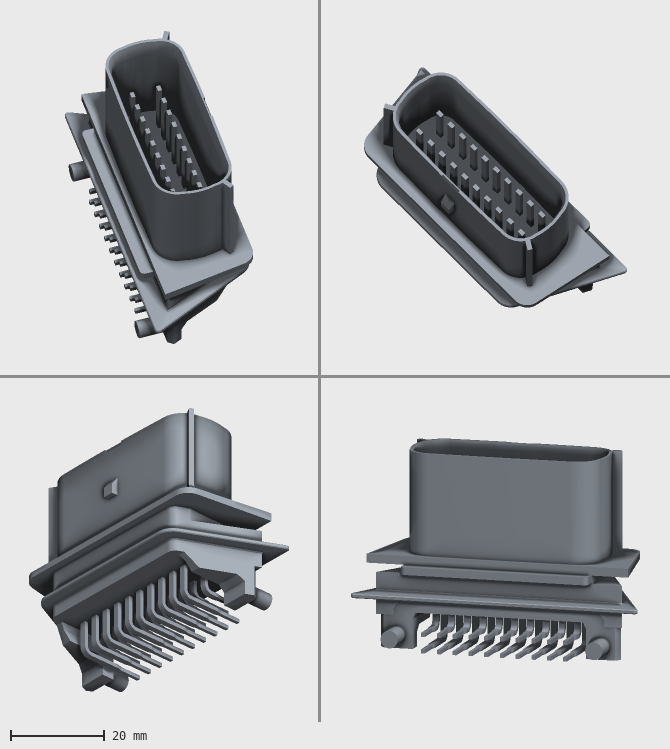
import cadquery as cq
import math

HALF_LENGTH = 63.7 / 2

TOTAL_HEIGHT = 42.55
FLANGE_TOP = 20.4
FLANGE_BOTTOM_FRONT = 18.5
FLANGE_BOTTOM_BACK = 19.0
SHOULDER_FRONT = 16.3
SHOULDER_BACK = 15.85
BODY_BOTTOM = 7.9
SKIRT_BOTTOM = 7.25
CHEEK_BOTTOM = 4.6
LEG_SLOPE_BOTTOM = 3.1

BODY_FRONT = -9.0
BODY_BACK = 9.35
LEG_FRONT = -8.6
LEG_BACK = -5.5
CHEEK_FRONT = -3.95
CHEEK_BACK = 3.8
CHEEK_SLOPE_TOP = 6.9

BODY_FRONT_HALF = 27.4
BODY_SIDE_SLOPE = 0.45
BODY_BACK_RADIUS = 2.05
BODY_FRONT_RADIUS = 0.05
NECK_HALF = 20.8

LEG_INNER_HALF = 19.25
LEG_CHAMFER_HALF = 25.7
LEG_CHAMFER_BACK = -7.4
ARCH_CHAMFER_WIDTH = 0.65
ARCH_CHAMFER_HEIGHT = 1.35
PEG_SPACING = 45.5
PEG_HEIGHT = 2.9
PEG_RADIUS = 1.9
PEG_END = -14.4

RECESS_TOP = 10.6
RECESS_TOP_HALF = 21.8
RECESS_BEND_HEIGHT = 8.7
RECESS_BEND_HALF = 23.4

GASKET_SIDE_SLOPE = 0.47
GASKET_FRONT = -13.1
GASKET_BACK = 12.1
GASKET_FRONT_RADIUS = 0.75
GASKET_BACK_RADIUS = 4.15
GASKET_CORNER_GAIN = GASKET_SIDE_SLOPE + math.sqrt(1 + GASKET_SIDE_SLOPE**2) - 1
GASKET_FRONT_HALF = HALF_LENGTH + GASKET_FRONT_RADIUS * GASKET_CORNER_GAIN
GASKET_MIDDLE = 11.65
GASKET_RIM_HEIGHT = 0.6
GASKET_RIM_BEVEL = 0.2
GASKET_ROOT_HEIGHT = 2.05
GASKET_ROOT_BEVEL = 0.25

FLANGE_FRONT_HALF = 29.1
FLANGE_SIDE_SLOPE = 0.16
FLANGE_FRONT = -10.1
FLANGE_BACK = 11.4
FLANGE_BACK_RADIUS = 3.5
LIP_FRONT = -12.85
LIP_BOTTOM = 16.8
LIP_CORNER_RADIUS = 1.0

SHELL_HALF_LENGTH = 21.8
SHELL_HALF_DEPTH = 9.0
SHELL_LONG_SIDE_END = (16.05, 8.7)
SHELL_SHORT_SIDE_END = (21.3, 3.75)
SHELL_CORNER_MIDDLE = (19.6, 7.2)
RIM_THICKNESS = 0.65
WALL_THICKNESS = 1.35
FOOT_THICKNESS = 1.4
DRAFT_TOP = 33.9
LEAD_IN_DEPTH = 3.05
LEAD_IN_STEPS = 4

RIB_TIP = (22.55, 6.9)
RIB_LENGTH = 3.2
RIB_THICKNESS = 1.1
RIB_ANGLE = 30.0
LATCH_REACH = 10.5
LATCH_BOTTOM = 29.55
LATCH_SHOULDER = 31.85
LATCH_TOP = 33.9
LATCH_ROOT_HALF = 1.5
LATCH_TIP_HALF = 1.3
BEVEL_LENGTH = 5.1
BEVEL_WIDTH = 0.4
BEVEL_HEIGHT = 0.95

PINS_PER_ROW = 10
PIN_PITCH = 3.5
PIN_WIDTH = 1.4
PIN_TIP_WIDTH = 0.8
PIN_THICKNESS = 0.9
PIN_ROW_SPACING = 5.9
PIN_TOP = 32.8
PIN_BEND_RADIUS = 2.0
PIN_END = -12.6
PIN_TAPER_START = -6.25
PIN_TAPER_END = -7.2
UPPER_ROW_BOTTOM = 3.55

TOLERANCE = 6.37e-07


def box(x_half, y_min, y_max, z_min, z_max):
    """Block centred on X = 0."""
    return (
        cq.Workplane("XY")
        .box(2 * x_half, y_max - y_min, z_max - z_min, centered=(True, False, False))
        .translate((0, y_min, z_min))
    )


def side_extrusion(points, half_width):
    """Extrude a (Y, Z) outline symmetrically along X."""
    return cq.Workplane("YZ").polyline(points).close().extrude(half_width, both=True)


def trapezoid(front_half, slope, front, back, front_radius, back_radius, z):
    """Closed trapezoid wire, narrower at the back, with rounded corners."""
    back_half = front_half - slope * (back - front)
    corners = [
        cq.Vector(-front_half, front, z),
        cq.Vector(front_half, front, z),
        cq.Vector(back_half, back, z),
        cq.Vector(-back_half, back, z),
    ]
    wire = cq.Wire.makePolygon(corners, close=True)
    for radius, edge_y in ((front_radius, front), (back_radius, back)):
        if radius > 0:
            rounded = [v for v in wire.Vertices() if abs(v.Y - edge_y) < TOLERANCE]
            wire = wire.fillet2D(radius, rounded)
    return wire


def body_outline(z):
    return trapezoid(
        BODY_FRONT_HALF, BODY_SIDE_SLOPE, BODY_FRONT, BODY_BACK, BODY_FRONT_RADIUS, BODY_BACK_RADIUS, z
    )


def gasket_outline(z):
    return trapezoid(
        GASKET_FRONT_HALF, GASKET_SIDE_SLOPE, GASKET_FRONT, GASKET_BACK,
        GASKET_FRONT_RADIUS, GASKET_BACK_RADIUS, z,
    )


def prism(wire, height):
    return cq.Workplane(cq.Solid.extrudeLinear(wire, [], cq.Vector(0, 0, height)))


def make_body():
    body = prism(body_outline(0), FLANGE_TOP)

    profile = [
        (BODY_FRONT, FLANGE_TOP),
        (BODY_FRONT, SKIRT_BOTTOM),
        (LEG_FRONT, SKIRT_BOTTOM),
        (LEG_FRONT, 0),
        (LEG_BACK, 0),
        (LEG_BACK, LEG_SLOPE_BOTTOM),
        (CHEEK_FRONT, CHEEK_BOTTOM),
        (CHEEK_BACK, CHEEK_BOTTOM),
        (CHEEK_SLOPE_TOP, BODY_BOTTOM),
        (BODY_BACK, BODY_BOTTOM),
        (BODY_BACK, FLANGE_TOP),
    ]
    body = body.intersect(side_extrusion(profile, HALF_LENGTH))

    arch = [
        (-LEG_INNER_HALF, 0),
        (-LEG_INNER_HALF, BODY_BOTTOM - ARCH_CHAMFER_HEIGHT),
        (ARCH_CHAMFER_WIDTH - LEG_INNER_HALF, BODY_BOTTOM),
        (LEG_INNER_HALF - ARCH_CHAMFER_WIDTH, BODY_BOTTOM),
        (LEG_INNER_HALF, BODY_BOTTOM - ARCH_CHAMFER_HEIGHT),
        (LEG_INNER_HALF, 0),
    ]
    body = body.cut(cq.Workplane("XZ").polyline(arch).close().extrude(HALF_LENGTH, both=True))

    recess = [
        (-RECESS_BEND_HALF, SKIRT_BOTTOM),
        (-RECESS_BEND_HALF, RECESS_BEND_HEIGHT),
        (-RECESS_TOP_HALF, RECESS_TOP),
        (RECESS_TOP_HALF, RECESS_TOP),
        (RECESS_BEND_HALF, RECESS_BEND_HEIGHT),
        (RECESS_BEND_HALF, SKIRT_BOTTOM),
    ]
    recess_depth = LEG_FRONT - BODY_FRONT
    cutter = cq.Workplane("XZ", origin=(0, LEG_FRONT, 0)).polyline(recess).close().extrude(recess_depth)
    body = body.cut(cutter)

    side_half = BODY_FRONT_HALF - BODY_SIDE_SLOPE * (LEG_CHAMFER_BACK - BODY_FRONT)
    for side in (-1, 1):
        corner = [
            (side * LEG_CHAMFER_HALF, LEG_FRONT),
            (side * side_half, LEG_CHAMFER_BACK),
            (side * HALF_LENGTH, LEG_CHAMFER_BACK),
            (side * HALF_LENGTH, LEG_FRONT),
        ]
        body = body.cut(cq.Workplane("XY").polyline(corner).close().extrude(SKIRT_BOTTOM))

    above_shoulder = [
        (BODY_FRONT, SHOULDER_FRONT),
        (BODY_BACK, SHOULDER_BACK),
        (BODY_BACK, FLANGE_TOP),
        (BODY_FRONT, FLANGE_TOP),
    ]
    shoulders = side_extrusion(above_shoulder, HALF_LENGTH)
    neck = box(NECK_HALF, BODY_FRONT, BODY_BACK, 0, FLANGE_TOP)
    return body.cut(shoulders.cut(neck))


def make_gasket():
    half_rim = GASKET_RIM_HEIGHT / 2
    half_edge = half_rim + GASKET_RIM_BEVEL
    half_shoulder = GASKET_ROOT_HEIGHT / 2 - GASKET_ROOT_BEVEL
    half_root = GASKET_ROOT_HEIGHT / 2

    upper = [
        gasket_outline(half_rim),
        gasket_outline(half_edge).offset2D(-GASKET_RIM_BEVEL)[0],
        body_outline(half_shoulder).offset2D(GASKET_ROOT_BEVEL)[0],
        body_outline(half_root),
    ]
    gasket = prism(gasket_outline(-half_rim), GASKET_RIM_HEIGHT)
    for lower_wire, upper_wire in zip(upper, upper[1:]):
        layer = cq.Workplane(cq.Solid.makeLoft([lower_wire, upper_wire], True))
        gasket = gasket.union(layer).union(layer.mirror("XY"))
    return gasket.translate((0, 0, GASKET_MIDDLE))


def make_flange():
    outline = trapezoid(
        FLANGE_FRONT_HALF, FLANGE_SIDE_SLOPE, FLANGE_FRONT, FLANGE_BACK, 0, FLANGE_BACK_RADIUS, 0
    )
    profile = [
        (FLANGE_FRONT, FLANGE_BOTTOM_FRONT),
        (FLANGE_BACK, FLANGE_BOTTOM_BACK),
        (FLANGE_BACK, FLANGE_TOP),
        (FLANGE_FRONT, FLANGE_TOP),
    ]
    flange = prism(outline, FLANGE_TOP).intersect(side_extrusion(profile, HALF_LENGTH))
    lip = box(NECK_HALF, LIP_FRONT, 0, LIP_BOTTOM, FLANGE_BOTTOM_FRONT)
    lip = lip.edges("|Z and <Y").fillet(LIP_CORNER_RADIUS)
    return flange.union(lip)


def shell_outline(z):
    """Oblong outline made of four bowed sides and four corner arcs."""
    long_x, long_y = SHELL_LONG_SIDE_END
    short_x, short_y = SHELL_SHORT_SIDE_END
    mid_x, mid_y = SHELL_CORNER_MIDDLE
    return (
        cq.Workplane("XY", origin=(0, 0, z))
        .moveTo(-long_x, -long_y)
        .threePointArc((0, -SHELL_HALF_DEPTH), (long_x, -long_y))
        .threePointArc((mid_x, -mid_y), (short_x, -short_y))
        .threePointArc((SHELL_HALF_LENGTH, 0), (short_x, short_y))
        .threePointArc((mid_x, mid_y), (long_x, long_y))
        .threePointArc((0, SHELL_HALF_DEPTH), (-long_x, long_y))
        .threePointArc((-mid_x, mid_y), (-short_x, short_y))
        .threePointArc((-SHELL_HALF_LENGTH, 0), (-short_x, -short_y))
        .threePointArc((-mid_x, -mid_y), (-long_x, -long_y))
        .close()
    )


def make_cavity():
    """Shell opening: drafted foot, straight wall and a flared, rounded mouth."""

    def wall_section(z, thickness):
        return shell_outline(z).offset2D(-thickness).val()

    foot = cq.Solid.makeLoft(
        [wall_section(FLANGE_TOP, FOOT_THICKNESS), wall_section(DRAFT_TOP, WALL_THICKNESS)], True
    )
    lead_in_start = TOTAL_HEIGHT - LEAD_IN_DEPTH
    straight = shell_outline(DRAFT_TOP).offset2D(-WALL_THICKNESS).extrude(lead_in_start - DRAFT_TOP)

    flare = WALL_THICKNESS - RIM_THICKNESS
    radius = (LEAD_IN_DEPTH**2 + flare**2) / (2 * flare)
    sections = []
    for step in range(LEAD_IN_STEPS + 1):
        rise = LEAD_IN_DEPTH * step / LEAD_IN_STEPS
        opening = radius - math.sqrt(radius**2 - rise**2)
        sections.append(wall_section(lead_in_start + rise, WALL_THICKNESS - opening))
    mouth = cq.Solid.makeLoft(sections)
    return straight.union(cq.Workplane(foot)).union(cq.Workplane(mouth))


def make_latch():
    root = SHELL_HALF_DEPTH - WALL_THICKNESS / 2
    profile = [
        (root, LATCH_BOTTOM),
        (LATCH_REACH, LATCH_BOTTOM),
        (LATCH_REACH, LATCH_SHOULDER),
        (SHELL_HALF_DEPTH, LATCH_TOP),
        (root, LATCH_TOP),
    ]
    plan = [
        (-LATCH_ROOT_HALF, root),
        (LATCH_ROOT_HALF, root),
        (LATCH_TIP_HALF, LATCH_REACH),
        (-LATCH_TIP_HALF, LATCH_REACH),
    ]
    plan_prism = cq.Workplane("XY").polyline(plan).close().extrude(TOTAL_HEIGHT)
    return side_extrusion(profile, LATCH_ROOT_HALF).intersect(plan_prism)


def make_shell():
    height = TOTAL_HEIGHT - FLANGE_TOP
    shell = shell_outline(FLANGE_TOP).extrude(height)

    tip_x, tip_y = RIB_TIP
    for side in (-1, 1):
        rib = (
            cq.Workplane("XY")
            .box(RIB_LENGTH, RIB_THICKNESS, height, centered=(False, True, False))
            .rotate((0, 0, 0), (0, 0, 1), 180 + RIB_ANGLE)
            .translate((tip_x, tip_y, FLANGE_TOP))
        )
        shell = shell.union(rib if side > 0 else rib.mirror("YZ"))
    shell = shell.union(make_latch()).cut(make_cavity())

    bevel = [
        (SHELL_HALF_DEPTH - BEVEL_WIDTH, TOTAL_HEIGHT),
        (SHELL_HALF_DEPTH, TOTAL_HEIGHT - BEVEL_HEIGHT),
        (SHELL_HALF_DEPTH, TOTAL_HEIGHT),
    ]
    return shell.cut(side_extrusion(bevel, BEVEL_LENGTH / 2))


def make_pin(row_y, bottom):
    """Pin that stands up through the body and bends forward below it."""
    outer = row_y + PIN_THICKNESS / 2
    inner = row_y - PIN_THICKNESS / 2
    bend_y = outer - PIN_BEND_RADIUS
    bend_z = bottom + PIN_BEND_RADIUS
    inner_radius = PIN_BEND_RADIUS - PIN_THICKNESS
    diagonal = math.sqrt(0.5)
    pin = (
        cq.Workplane("YZ")
        .moveTo(outer, PIN_TOP)
        .lineTo(outer, bend_z)
        .threePointArc(
            (bend_y + PIN_BEND_RADIUS * diagonal, bend_z - PIN_BEND_RADIUS * diagonal),
            (bend_y, bottom),
        )
        .lineTo(PIN_END, bottom)
        .lineTo(PIN_END, bottom + PIN_THICKNESS)
        .lineTo(bend_y, bottom + PIN_THICKNESS)
        .threePointArc(
            (bend_y + inner_radius * diagonal, bend_z - inner_radius * diagonal),
            (inner, bend_z),
        )
        .lineTo(inner, PIN_TOP)
        .close()
        .extrude(PIN_WIDTH / 2, both=True)
    )
    plan = [
        (-PIN_WIDTH / 2, outer),
        (-PIN_WIDTH / 2, PIN_TAPER_START),
        (-PIN_TIP_WIDTH / 2, PIN_TAPER_END),
        (-PIN_TIP_WIDTH / 2, PIN_END),
        (PIN_TIP_WIDTH / 2, PIN_END),
        (PIN_TIP_WIDTH / 2, PIN_TAPER_END),
        (PIN_WIDTH / 2, PIN_TAPER_START),
        (PIN_WIDTH / 2, outer),
    ]
    return pin.intersect(cq.Workplane("XY").polyline(plan).close().extrude(PIN_TOP))


result = make_body().union(make_gasket()).union(make_flange()).union(make_shell())

for side in (-1, 1):
    peg_origin = (side * PEG_SPACING / 2, LEG_FRONT, PEG_HEIGHT)
    peg = cq.Workplane("XZ", origin=peg_origin).circle(PEG_RADIUS).extrude(LEG_FRONT - PEG_END)
    result = result.union(peg)

for row_y, bottom in ((PIN_ROW_SPACING / 2, 0), (-PIN_ROW_SPACING / 2, UPPER_ROW_BOTTOM)):
    pin = make_pin(row_y, bottom)
    for index in range(PINS_PER_ROW):
        pin_x = (index - (PINS_PER_ROW - 1) / 2) * PIN_PITCH
        result = result.union(pin.translate((pin_x, 0, 0)))